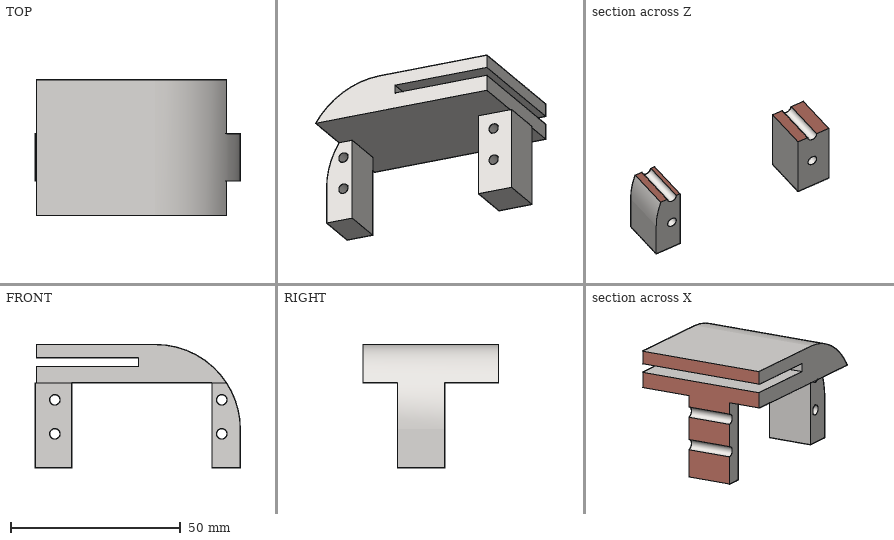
import cadquery as cq
import math

deck_length = 35.0
nose_radius = 25.0
plate_width = 40.0
plate_thickness = 11.32

slot_length = 30.0
slot_height = 2.5
slot_roof = 4.0

leg_height = 25.0
leg_width = 14.0
leg_offset = 10.15
rear_leg_overhang = 0.42
rear_leg_length = 10.85
front_leg_length = 8.4

hole_diameter = 3.0
hole_heights = (10.0, 20.0)
rear_hole_x = 5.42
front_hole_x = 54.5

top_z = leg_height + plate_thickness
nose_center_z = top_z - nose_radius
front_x = deck_length + nose_radius


def nose_point(z):
    """Point of the nose arc at height z."""
    return (deck_length + math.sqrt(nose_radius**2 - (z - nose_center_z) ** 2), z)


def nose_point_between(low_z, high_z):
    """Point of the nose arc midway in height between two levels."""
    return nose_point((low_z + high_z) / 2)


def extrude_along_y(profile, start_y, width):
    """Extrude a closed XZ profile from start_y toward +Y."""
    return profile.extrude(-width).translate((0, start_y, 0))


def make_plate():
    profile = (
        cq.Workplane("XZ")
        .moveTo(0, leg_height)
        .lineTo(*nose_point(leg_height))
        .threePointArc(nose_point_between(leg_height, top_z), (deck_length, top_z))
        .lineTo(0, top_z)
        .close()
    )
    return extrude_along_y(profile, 0, plate_width)


def make_slot():
    slot_floor_z = top_z - slot_roof - slot_height
    slot = cq.Workplane("XY").box(slot_length, plate_width, slot_height, centered=False)
    return slot.translate((0, 0, slot_floor_z))


def make_rear_leg():
    leg = cq.Workplane("XY").box(rear_leg_length, leg_width, leg_height, centered=False)
    return leg.translate((-rear_leg_overhang, leg_offset, 0))


def make_front_leg():
    """Leg whose outer face carries on the nose arc down to a vertical wall."""
    inner_x = front_x - front_leg_length
    profile = (
        cq.Workplane("XZ")
        .moveTo(inner_x, 0)
        .lineTo(front_x, 0)
        .lineTo(front_x, nose_center_z)
        .threePointArc(nose_point_between(nose_center_z, leg_height), nose_point(leg_height))
        .lineTo(inner_x, leg_height)
        .close()
    )
    return extrude_along_y(profile, leg_offset, leg_width)


def make_leg_holes():
    centers = [(x, z) for x in (rear_hole_x, front_hole_x) for z in hole_heights]
    profile = cq.Workplane("XZ").pushPoints(centers).circle(hole_diameter / 2)
    return extrude_along_y(profile, leg_offset, leg_width)


body = make_plate().union(make_rear_leg()).union(make_front_leg())
result = body.cut(make_slot()).cut(make_leg_holes())